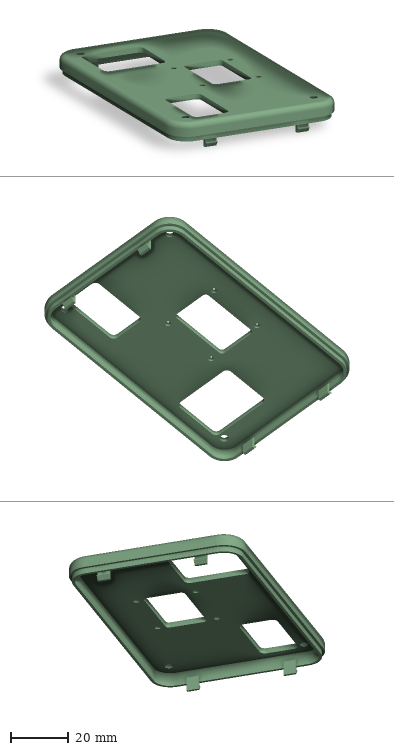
import cadquery as cq

length = 96.0
width = 65.0
corner_radius = 8.1
edge_round = 2.0
rim_height = 5.0
plate_thickness = 2.0

lip_inset = 1.0
lip_thickness = 1.1
lip_height = 2.0
cavity_inset = lip_inset + lip_thickness

overall_height = 10.2
clip_width = 4.5
clip_thickness = 1.0
clip_spacing = 36.0
leg_top_z = -0.5
leg_slope_height = 1.3
hook_reach = 1.1
hook_top_z = -3.4
hook_nose_height = 0.3
hook_side_inset = 0.05
clip_bottom_z = rim_height - overall_height

screw_hole_diameter = 3.0
screw_hole_x = 40.5
screw_hole_y = 25.1
small_hole_diameter = 2.0
small_hole_spacing = 22.0
small_hole_center_y = 7.5

display_window = {"center": (0, 8.1), "size": (24.3, 15.2), "radius": 1.4}
left_window = {"center": (-28.0, -14.6), "size": (20.1, 24.2), "radius": 2.0}
right_window = {"center": (30.5, -15.6), "size": (24.0, 14.0), "radius": 2.0}


def rounded_block(size_x, size_y, radius, bottom_z, top_z):
    """Upright block with rounded vertical edges."""
    block = cq.Workplane("XY", origin=(0, 0, bottom_z)).rect(size_x, size_y).extrude(top_z - bottom_z)
    return block.edges("|Z").fillet(radius)


def inset_block(inset, bottom_z, top_z):
    """Block following the lid outline, moved inwards by the inset."""
    return rounded_block(
        length - 2 * inset, width - 2 * inset, corner_radius - inset, bottom_z, top_z
    )


def make_shell():
    """Hollow lid with a rounded top edge and a stepped-in lip below."""
    rim = inset_block(0, 0, rim_height).faces(">Z").edges().fillet(edge_round)
    lip = inset_block(lip_inset, -lip_height, edge_round)
    cavity = inset_block(cavity_inset, -lip_height, rim_height - plate_thickness)
    return rim.union(lip).cut(cavity)


def make_clip(center_y):
    """Clip on the -X side: a sloped-top leg on the cavity wall, with an outward hook."""
    outer_x = -length / 2 + cavity_inset
    inner_x = outer_x + clip_thickness
    tip_x = outer_x - hook_reach
    leg_profile = [
        (inner_x, leg_top_z),
        (inner_x, clip_bottom_z),
        (outer_x, clip_bottom_z),
        (outer_x, leg_top_z + leg_slope_height),
    ]
    leg = cq.Workplane("XZ", origin=(0, center_y, 0)).polyline(leg_profile).close()
    leg = leg.extrude(clip_width / 2, both=True)
    hook_profile = [
        (inner_x, clip_bottom_z),
        (outer_x, clip_bottom_z),
        (tip_x, hook_top_z - hook_nose_height),
        (tip_x, hook_top_z),
        (inner_x, hook_top_z),
    ]
    hook = cq.Workplane("XZ", origin=(0, center_y, 0)).polyline(hook_profile).close()
    hook = hook.extrude(clip_width / 2 - hook_side_inset, both=True)
    return leg.union(hook)


def make_window(window):
    """Cutter for a rounded window through the top plate."""
    block = rounded_block(*window["size"], window["radius"], 0, rim_height)
    return block.translate((*window["center"], 0))


def make_holes(centers, diameter):
    """Cutters for round holes through the top plate."""
    return cq.Workplane("XY").pushPoints(centers).circle(diameter / 2).extrude(rim_height)


result = make_shell()

for window in (display_window, left_window, right_window):
    result = result.cut(make_window(window))

screw_holes = [
    (-screw_hole_x, -screw_hole_y),
    (screw_hole_x, -screw_hole_y),
    (screw_hole_x, screw_hole_y),
]
result = result.cut(make_holes(screw_holes, screw_hole_diameter))

small_holes = [
    (side_x * small_hole_spacing / 2, small_hole_center_y + side_y * small_hole_spacing / 2)
    for side_x in (-1, 1)
    for side_y in (-1, 1)
]
result = result.cut(make_holes(small_holes, small_hole_diameter))

for clip_y in (-clip_spacing / 2, clip_spacing / 2):
    clip = make_clip(clip_y)
    result = result.union(clip).union(clip.mirror("YZ"))